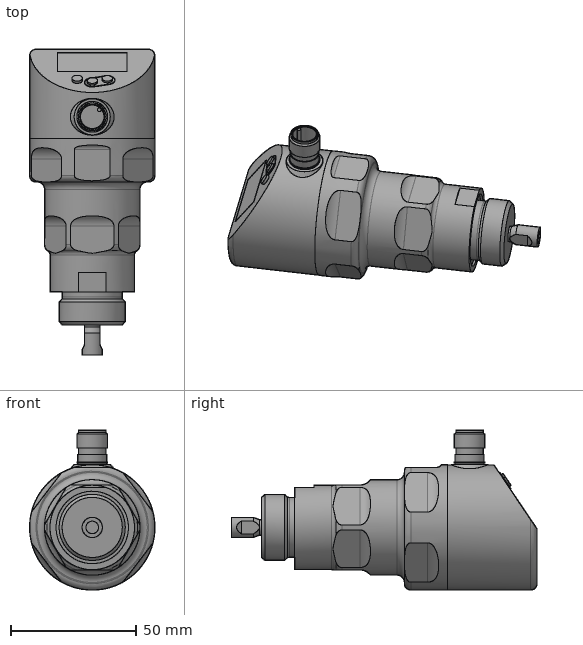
import cadquery as cq
import math


head_radius = 25.0
back_round = 2.6
collar_radius = 25.05
collar_at = 35.75
collar_end_at = 53.05
collar_round = 2.6
collar_face_radius = 22.0
barrel_radius = 19.07
barrel_at = 55.95
hex_round_at = 78.0
hex_shoulder_radius = 18.05
hex_shoulder_at = 80.4
hex_round = 3.2
hex_root_round = 1.9
sleeve_radius = 16.87
sleeve_at = 82.15
sleeve_end_at = 96.85
recess_radius = 14.45
recess_depth = 1.0
neck_radius = 12.0
neck_taper_at = 98.95
neck_end_radius = 12.15
neck_end_at = 99.75
plug_radius = 13.2
plug_at = 100.85
plug_chamfer_at = 108.65
plug_face_radius = 12.0
plug_end_at = 110.1

stem_neck_radius = 3.15
stem_neck_end_at = 110.85
stem_radius = 4.05
stem_at = 113.3
stem_end_at = 122.1
stem_flat_offset = 3.15
stem_flat_end_at = 118.0
stem_flat_runout = 2.2
stem_hole_radius = 2.5
stem_hole_depth = 0.5

wrench_flat_offset = 23.0
wrench_flat_at = 43.85
wrench_runout_radius = 6.0
wrench_flat_angles = (37.5, 142.5, 217.5, 322.5)
top_flat_offset = 24.0
top_flat_at = 40.1
top_runout_radius = 2.1
hex_flat_offset = 17.0
hex_flat_at = 70.65
hex_runout_radius = 5.1
hex_sides = 6
sleeve_flat_offset = 15.98
sleeve_flat_at = 89.1

slope_edge_at = 17.3
slope_tilt = 56.0
display_width = 27.7
display_length = 13.4
display_center_at = 5.15
display_depth = 0.1
button_radius = 2.1
button_height = 1.1
button_pitch = 6.0
side_button_at = 12.5
middle_button_at = 13.4
pad_radius = 3.05
pad_height = 0.3

connector_at = 27.0
connector_top = 38.85
connector_root = 20.0
flange_top = 25.2
flange_top_radius = 7.2
flange_base = 23.4
flange_base_radius = 8.75
lip_radius = 5.5
lip_base = 37.85
thread_radius = 6.15
thread_top = 37.2
thread_base = 31.65
groove_base = 29.15
shank_radius = 5.85
ring_radius = 6.15
ring_top = 26.1
ring_base = 25.7
socket_radius = 4.7
socket_depth = 9.0
socket_chamfer = 0.3
key_radius = 0.75
key_center_radius = 4.0
key_angle = 45.0


def turned_body():
    """Head, collar, barrel, sleeve, plug and stem as one revolved profile."""
    profile = (
        cq.Workplane("XY")
        .lineTo(head_radius - back_round, 0)
        .radiusArc((head_radius, -back_round), back_round)
        .lineTo(head_radius, -collar_at)
        .lineTo(collar_radius, -collar_at)
        .lineTo(collar_radius, -(collar_end_at - collar_round))
        .radiusArc((collar_radius - collar_round, -collar_end_at), collar_round)
        .lineTo(collar_face_radius, -collar_end_at)
        .radiusArc((barrel_radius, -barrel_at), -(collar_face_radius - barrel_radius))
        .lineTo(barrel_radius, -hex_round_at)
        .radiusArc((hex_shoulder_radius, -hex_shoulder_at), hex_round)
        .radiusArc((sleeve_radius, -sleeve_at), -hex_root_round)
        .lineTo(sleeve_radius, -sleeve_end_at)
        .lineTo(recess_radius, -sleeve_end_at)
        .lineTo(recess_radius, -(sleeve_end_at - recess_depth))
        .lineTo(neck_radius, -(sleeve_end_at - recess_depth))
        .lineTo(neck_radius, -neck_taper_at)
        .lineTo(neck_end_radius, -neck_end_at)
        .lineTo(plug_radius, -plug_at)
        .lineTo(plug_radius, -plug_chamfer_at)
        .lineTo(plug_face_radius, -plug_end_at)
        .lineTo(stem_neck_radius, -plug_end_at)
        .lineTo(stem_neck_radius, -stem_neck_end_at)
        .lineTo(stem_radius, -stem_at)
        .lineTo(stem_radius, -stem_end_at)
        .lineTo(0, -stem_end_at)
        .close()
    )
    return profile.revolve(360, (0, 0, 0), (0, 1, 0))


def flat_cutter(offset, start_at, end_at, runout_radius, angle):
    """Cutter for a flat whose normal lies at `angle` from +X toward +Z.

    Behind `start_at` the flat rises out of the body along a concave arc.
    """
    cutter = (
        cq.Workplane("XY")
        .moveTo(offset, -end_at)
        .lineTo(offset, -start_at)
        .radiusArc((offset + runout_radius, -start_at + runout_radius), runout_radius)
        .lineTo(offset + runout_radius, -end_at)
        .close()
        .extrude(collar_radius, both=True)
    )
    return cutter.rotate((0, 0, 0), (0, 1, 0), -angle)


def cut_flats(body):
    """Wrench flats on the collar, hexagon on the barrel and one flat on the sleeve."""
    body = body.cut(flat_cutter(top_flat_offset, top_flat_at, collar_end_at, top_runout_radius, 90))
    for angle in wrench_flat_angles:
        body = body.cut(
            flat_cutter(wrench_flat_offset, wrench_flat_at, collar_end_at, wrench_runout_radius, angle)
        )
    for side in range(hex_sides):
        angle = 90 + side * 360 / hex_sides
        body = body.cut(flat_cutter(hex_flat_offset, hex_flat_at, sleeve_at, hex_runout_radius, angle))
    sleeve_flat_length = sleeve_end_at - sleeve_flat_at
    sleeve_flat = cq.Workplane("XY").box(
        2 * sleeve_radius, sleeve_flat_length, sleeve_radius, centered=(True, False, False)
    )
    return body.cut(sleeve_flat.translate((0, -sleeve_end_at, sleeve_flat_offset)))


def finish_stem(body):
    """Two side flats with a sloped run-out, and the shallow recess in the tip."""
    flat_height = stem_radius - stem_flat_offset
    runout_end_at = stem_flat_end_at + stem_flat_runout * flat_height
    side_flat = (
        cq.Workplane("XY")
        .moveTo(stem_flat_offset, -plug_end_at)
        .lineTo(stem_flat_offset, -stem_flat_end_at)
        .lineTo(stem_radius, -runout_end_at)
        .lineTo(stem_radius, -plug_end_at)
        .close()
        .extrude(stem_radius, both=True)
    )
    hole = cq.Workplane("XZ", origin=(0, -stem_end_at, 0)).circle(stem_hole_radius).extrude(-stem_hole_depth)
    return body.cut(side_flat).cut(side_flat.mirror("YZ")).cut(hole)


def slope_plane():
    """Plane of the operating face; local X points to -X and local Y runs up toward the connector."""
    tilt = math.radians(slope_tilt)
    return cq.Plane(
        origin=(0, -slope_edge_at, head_radius),
        xDir=(-1, 0, 0),
        normal=(0, math.sin(tilt), math.cos(tilt)),
    )


def on_slope(station):
    """Local Y on the operating face of the point at this distance from the back."""
    return (station - slope_edge_at) / math.cos(math.radians(slope_tilt))


def add_operating_face(body):
    """Sloped cut with the shallow display window, three buttons and the pad under two of them."""
    face = cq.Workplane(slope_plane())
    body = body.cut(face.rect(4 * head_radius, 4 * head_radius).extrude(2 * head_radius))
    display = face.center(0, on_slope(display_center_at)).rect(display_width, display_length)
    body = body.cut(display.extrude(-display_depth))

    middle = cq.Vector(0, on_slope(middle_button_at))
    left = cq.Vector(button_pitch, on_slope(side_button_at))
    right = cq.Vector(-button_pitch, on_slope(side_button_at))
    pad_run = right - middle
    pad_center = (middle + right) * 0.5
    pad_angle = math.degrees(math.atan2(pad_run.y, pad_run.x))
    pad_length = pad_run.Length + 2 * pad_radius
    pad = face.center(pad_center.x, pad_center.y).slot2D(pad_length, 2 * pad_radius, pad_angle)
    body = body.union(pad.extrude(pad_height))
    buttons = face.pushPoints([(point.x, point.y) for point in (left, middle, right)])
    return body.union(buttons.circle(button_radius).extrude(button_height))


def connector():
    """Round plug connector with a conical flange, a socket and a key ridge in the socket."""
    socket_floor = connector_top - socket_depth
    profile = (
        cq.Workplane("XZ")
        .moveTo(0, connector_root)
        .lineTo(flange_base_radius, connector_root)
        .lineTo(flange_base_radius, flange_base)
        .lineTo(flange_top_radius, flange_top)
        .lineTo(shank_radius, flange_top)
        .lineTo(shank_radius, ring_base)
        .lineTo(ring_radius, ring_base)
        .lineTo(ring_radius, ring_top)
        .lineTo(shank_radius, ring_top)
        .lineTo(shank_radius, groove_base)
        .lineTo(lip_radius, groove_base)
        .lineTo(lip_radius, thread_base)
        .lineTo(thread_radius, thread_base)
        .lineTo(thread_radius, thread_top)
        .lineTo(lip_radius, lip_base)
        .lineTo(lip_radius, connector_top)
        .lineTo(socket_radius + socket_chamfer, connector_top)
        .lineTo(socket_radius, connector_top - socket_chamfer)
        .lineTo(socket_radius, socket_floor)
        .lineTo(0, socket_floor)
        .close()
    )
    angle = math.radians(key_angle)
    key = (
        cq.Workplane("XY", origin=(0, 0, socket_floor))
        .center(key_center_radius * math.cos(angle), key_center_radius * math.sin(angle))
        .circle(key_radius)
        .extrude(socket_depth - socket_chamfer)
    )
    shell = profile.revolve(360, (0, 0, 0), (0, 1, 0))
    return shell.union(key).translate((0, -connector_at, 0))


result = turned_body()
result = cut_flats(result)
result = finish_stem(result)
result = add_operating_face(result)
result = result.union(connector())